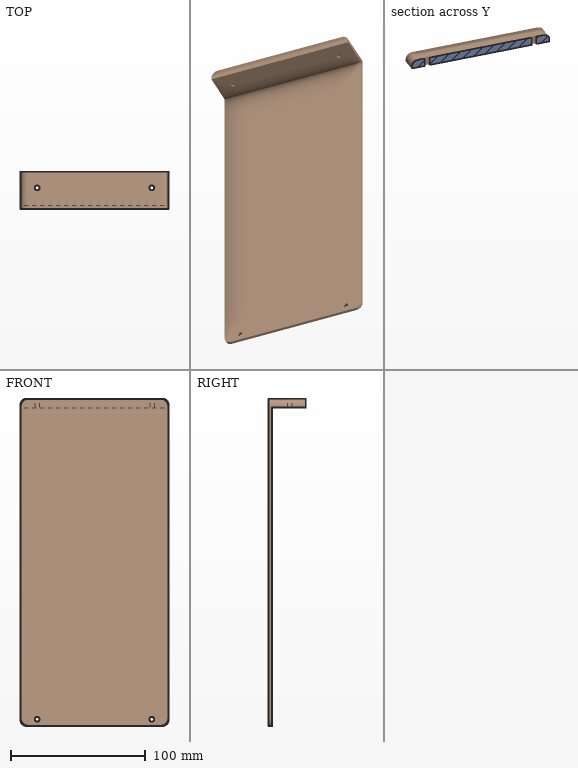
import cadquery as cq

width = 110.0
depth = 28.0
height = 243.0
plate_thickness = 3.0
shelf_thickness = 6.8
corner_radius = 5.0
front_chamfer = 0.5
hole_diameter = 3.5
hole_spacing = 85.0
plate_hole_height = 5.0
shelf_hole_setback = 15.8

hole_offset = hole_spacing / 2
shelf_bottom = height - shelf_thickness


def rounded_block(block_depth):
    """Full-size upright block with rounded corners, its front face at Y = 0."""
    block = cq.Workplane("XY").box(width, block_depth, height, centered=(True, False, False))
    return block.edges("|Y").fillet(corner_radius)


def make_shelf():
    """Top slice of the deep block, so that its ends follow the plate's upper corners."""
    top_slice = (
        cq.Workplane("XY")
        .workplane(offset=shelf_bottom)
        .box(width, depth, shelf_thickness, centered=(True, False, False))
    )
    return rounded_block(depth).intersect(top_slice)


def make_plate_hole(x):
    """Cutter through the plate, along Y."""
    return (
        cq.Workplane("XZ", origin=(x, 0, plate_hole_height))
        .circle(hole_diameter / 2)
        .extrude(-plate_thickness)
    )


def make_shelf_hole(x):
    """Cutter through the shelf, along Z."""
    return (
        cq.Workplane("XY", origin=(x, shelf_hole_setback, shelf_bottom))
        .circle(hole_diameter / 2)
        .extrude(shelf_thickness)
    )


result = rounded_block(plate_thickness).union(make_shelf())
result = result.faces("<Y").chamfer(front_chamfer)

for hole_x in (-hole_offset, hole_offset):
    result = result.cut(make_plate_hole(hole_x))
    result = result.cut(make_shelf_hole(hole_x))